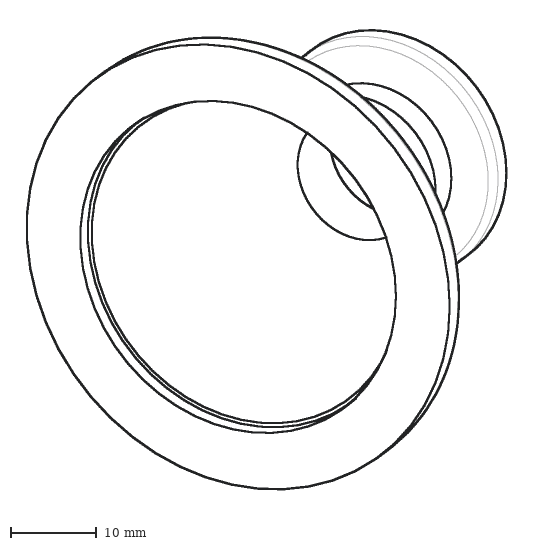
import cadquery as cq
import math

length = 40.0
large_rim_radius = 27.5
small_rim_radius = 15.0
bevel_angle = 15.0
rim_thickness = 3.0
rim_rounding = 1.05

cone_large_radius = 21.05
neck_radius = 10.0
neck_length = 4.1

recess_radius = 20.5
recess_depth = 2.0
bore_large_radius = 20.0
bore_small_radius = 7.9

bevel_slope = math.tan(math.radians(bevel_angle))
large_bevel_end = rim_thickness + (large_rim_radius - cone_large_radius) * bevel_slope
small_bevel_end = length - rim_thickness - (small_rim_radius - neck_radius) * bevel_slope
cone_end = small_bevel_end - neck_length


def revolve_profile(points):
    """Revolve a closed (radius, y) outline about the Y axis."""
    return cq.Workplane("XY").polyline(points).close().revolve(360, (0, 0, 0), (0, 1, 0))


def rim_edge(radius, y):
    """Select the circular edge of the given radius lying at height y."""
    reach = radius + 0.55
    half_band = 0.005
    return cq.selectors.BoxSelector(
        (-reach, y - half_band, -reach), (reach, y + half_band, reach), boundingbox=True
    )


body = revolve_profile([
    (0, 0),
    (large_rim_radius, 0),
    (large_rim_radius, rim_thickness),
    (cone_large_radius, large_bevel_end),
    (neck_radius, cone_end),
    (neck_radius, small_bevel_end),
    (small_rim_radius, length - rim_thickness),
    (small_rim_radius, length),
    (0, length),
])

for radius, y in ((large_rim_radius, rim_thickness), (small_rim_radius, length - rim_thickness)):
    body = body.edges(rim_edge(radius, y)).fillet(rim_rounding)

bore = revolve_profile([
    (0, 0),
    (recess_radius, 0),
    (recess_radius, recess_depth),
    (bore_large_radius, recess_depth),
    (bore_small_radius, cone_end),
    (bore_small_radius, length),
    (0, length),
])

result = body.cut(bore)